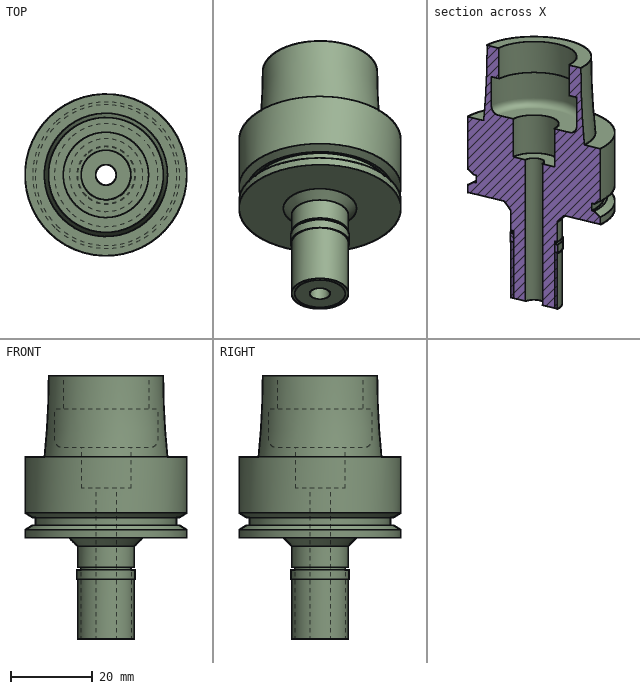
import cadquery as cq
import math

total_height = 65.0
shoulder_z = 45.0
flange_bottom_z = 24.95
shank_end_z = 17.7
ring_top_z = 17.1
ring_bottom_z = 14.75

flange_radius = 40.0 / 2
taper_top_radius = 14.2
taper_base_radius = 15.2
shank_radius = 7.0
neck_radius = 6.25
cone_height = 2.0

groove_radius = 17.4
groove_bottom_z = 28.15
groove_top_z = 29.95
groove_bevel_height = 1.2
groove_bevel_angle = 32.0

bore_radius = 10.5
bore_depth = 8.1
undercut_radius = 12.75
undercut_fillet = 1.95
undercut_wall_end = 15.7
cavity_depth = undercut_wall_end + undercut_fillet
counterbore_radius = 6.1
counterbore_depth = 10.0
hole_radius = 5.0 / 2

ring_radius = 7.2
nut_radius = shank_radius


def cylinder(radius, bottom_z, top_z):
    """Solid cylinder on the Z axis between two heights."""
    return cq.Workplane("XY").workplane(offset=bottom_z).circle(radius).extrude(top_z - bottom_z)


def make_sleeve(outer_radius, bottom_z, top_z):
    """Plain sleeve that fits closely around the neck."""
    return cylinder(outer_radius, bottom_z, top_z).cut(cylinder(neck_radius, bottom_z, top_z))


def make_taper():
    """Hollow-shank taper, vertical at its top and curving outward to its base."""
    height = total_height - shoulder_z
    flare = taper_base_radius - taper_top_radius
    arc_radius = (height**2 + flare**2) / (2 * flare)
    half_angle = math.asin(height / arc_radius) / 2
    arc_middle = (
        taper_top_radius + arc_radius * (1 - math.cos(half_angle)),
        total_height - arc_radius * math.sin(half_angle),
    )
    return (
        cq.Workplane("XZ")
        .moveTo(0, shoulder_z)
        .lineTo(0, total_height)
        .lineTo(taper_top_radius, total_height)
        .threePointArc(arc_middle, (taper_base_radius, shoulder_z))
        .close()
        .revolve(360, (0, 0, 0), (0, 1, 0))
    )


def make_flange_and_shank():
    """Grooved flange with the cone, the shank and the neck below it."""
    bevel_width = groove_bevel_height / math.tan(math.radians(groove_bevel_angle))
    bevel_radius = flange_radius - bevel_width
    outline = [
        (0, 0),
        (neck_radius, 0),
        (neck_radius, shank_end_z),
        (shank_radius, shank_end_z),
        (shank_radius, flange_bottom_z - cone_height),
        (shank_radius + cone_height, flange_bottom_z),
        (flange_radius, flange_bottom_z),
        (flange_radius, groove_bottom_z - groove_bevel_height),
        (bevel_radius, groove_bottom_z),
        (groove_radius, groove_bottom_z),
        (groove_radius, groove_top_z),
        (bevel_radius, groove_top_z),
        (flange_radius, groove_top_z + groove_bevel_height),
        (flange_radius, shoulder_z),
        (0, shoulder_z),
    ]
    return cq.Workplane("XZ").polyline(outline).close().revolve(360, (0, 0, 0), (0, 1, 0))


def make_cavity():
    """Bore, wider filleted undercut, counterbore and central through hole."""
    undercut_top_z = total_height - bore_depth
    floor_z = total_height - cavity_depth
    bore = cylinder(bore_radius, floor_z, total_height)
    undercut = cylinder(undercut_radius, floor_z, undercut_top_z).faces("<Z").edges().fillet(undercut_fillet)
    counterbore = cylinder(counterbore_radius, floor_z - counterbore_depth, floor_z)
    hole = cylinder(hole_radius, 0, total_height)
    return undercut.union(bore).union(counterbore).union(hole)


def make_holder():
    """Tool holder: taper, flange, shank and neck in one hollow piece."""
    return make_flange_and_shank().union(make_taper()).cut(make_cavity())


holder = make_holder()
ring = make_sleeve(ring_radius, ring_bottom_z, ring_top_z)
nut = make_sleeve(nut_radius, 0, ring_bottom_z)

result = cq.Compound.makeCompound([holder.val(), ring.val(), nut.val()])